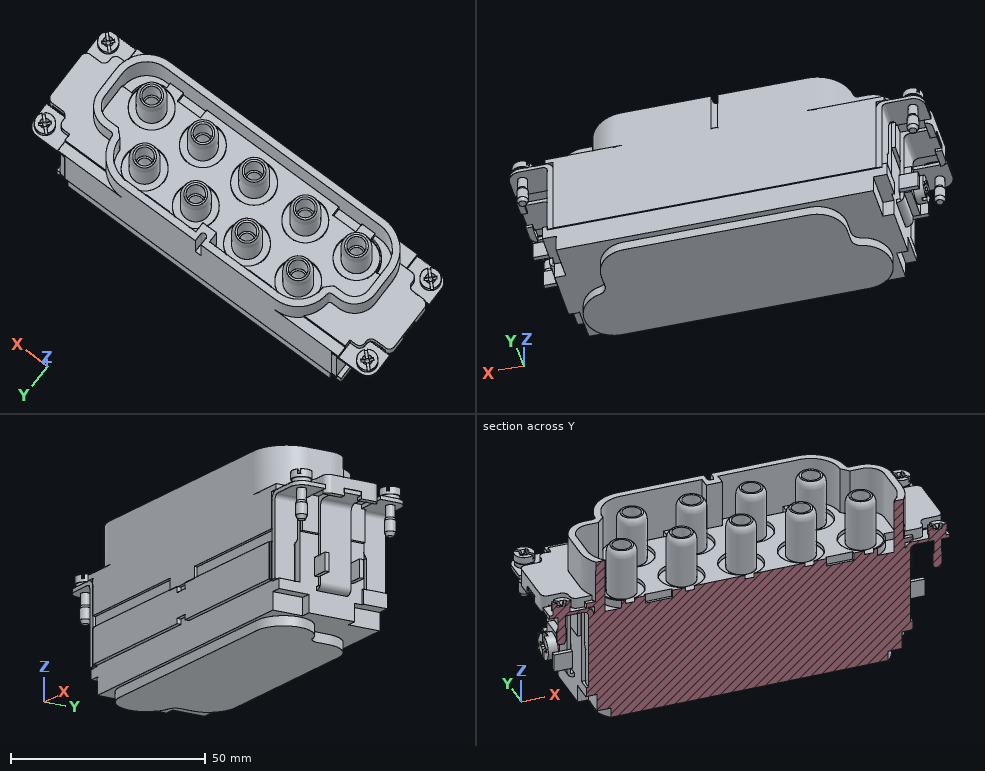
import cadquery as cq
import math


BASE_TOP = 2.8
CORNER_NOTCH_TOP = 7.8
LEG_BOTTOM = 10.6
STRIP_BOTTOM = 11.0
STRIP_TOP = 21.1
FRONT_WALL_BOTTOM = 24.4
FLANGE_BOTTOM = 32.5
TAB_TOP = 34.5
TAB_THICKNESS = 1.1
TAB_BOTTOM = TAB_TOP - TAB_THICKNESS
FLOOR = 34.7
SHELF = 36.0
FLANGE_TOP = 37.5
TOP = 47.9

PITCH = 16.5
ROW_Y = 7.0
FRONT_ROW = [i * PITCH for i in (-2, -1, 0, 1, 2)]
BACK_ROW = [i * PITCH for i in (-1.5, -0.5, 0.5, 1.5)]
SHROUD_RADIUS = 10.0
SHROUD_WALL = 2.0
SHOULDER_RADIUS = 6.7
BACK_CENTRE_X = BACK_ROW[-1]
SHROUD_HALF_X = 44.6
FRONT_CENTRE_X = SHROUD_HALF_X - SHROUD_RADIUS

BODY_X = 45.2
BODY_Y = ROW_Y + SHROUD_RADIUS
LOWER_FRONT_Y = -16.1
LOWER_BACK_Y = 16.6
STRIP_X = 42.2
STRIP_FRONT_Y = -17.3
LEG_GROOVE_X = 43.0
LEG_GROOVE_Y = 9.8
BRACKET_Y = 16.8
FRONT_SHELF_Y = -12.0
BACK_SHELF_Y = 14.0
FLANGE_X = 55.4
FLANGE_Y = 8.1
FLANGE_NECK_X = 48.8
FLANGE_LIP_X = 53.7

SCREW_X = 52.0
SCREW_Y = 13.5

STRAP_OUTER_X = 47.2
STRAP_INNER_X = 46.2
STRAP_Y = 4.7
STRAP_TIP_Y = 2.5
STRAP_BOTTOM = 9.2
STRAP_BEND = 1.9
TERMINAL_Z = 17.0

SEAT_D = 12.1
SEAT_DEPTH = 1.1

SIDES = (-1, 1)


def box(x, y, z):
    """Box from (low, high) pairs, in any order."""
    (x0, x1), (y0, y1), (z0, z1) = sorted(x), sorted(y), sorted(z)
    return cq.Workplane("XY").box(x1 - x0, y1 - y0, z1 - z0, centered=False).translate((x0, y0, z0))


def near(x, y, z):
    """Selector for edges centred within a small margin of the given (low, high) ranges."""
    margin = 0.5
    low = [min(pair) - margin for pair in (x, y, z)]
    high = [max(pair) + margin for pair in (x, y, z)]
    return cq.selectors.BoxSelector(low, high)


def cylinder(diameter, z0, z1, x=0, y=0):
    return cq.Workplane("XY", origin=(x, y, z0)).circle(diameter / 2).extrude(z1 - z0)


def both_ends(shape):
    return shape.union(shape.mirror("YZ"))


def four_corners(shape):
    return both_ends(shape.union(shape.mirror("XZ")))


def arc_middle(cx, cy, radius, degrees):
    angle = math.radians(degrees)
    return (cx + radius * math.cos(angle), cy + radius * math.sin(angle))


def shroud_outline(inset, z0, z1):
    """Prism on the shroud outline moved inwards by inset, which also chamfers the waist corners."""
    corner_r = SHROUD_RADIUS - inset
    shoulder_r = SHOULDER_RADIUS - inset
    side = SHROUD_HALF_X - inset
    waist_y = ROW_Y - inset
    shoulder_x = side - shoulder_r
    shoulder_y = waist_y - shoulder_r
    front_y = -ROW_Y - corner_r
    back_y = ROW_Y + corner_r
    right = (
        cq.Workplane("XY", origin=(0, 0, z0))
        .moveTo(0, front_y)
        .lineTo(FRONT_CENTRE_X, front_y)
        .threePointArc(arc_middle(FRONT_CENTRE_X, -ROW_Y, corner_r, -45), (side, -ROW_Y))
        .lineTo(side, shoulder_y)
        .threePointArc(arc_middle(shoulder_x, shoulder_y, shoulder_r, 45), (shoulder_x, waist_y))
        .lineTo(BACK_CENTRE_X + SHROUD_RADIUS, waist_y)
    )
    if inset > 0:
        right = right.lineTo(BACK_CENTRE_X + corner_r, ROW_Y)
    right = right.threePointArc(arc_middle(BACK_CENTRE_X, ROW_Y, corner_r, 45), (BACK_CENTRE_X, back_y))
    return both_ends(right.lineTo(0, back_y).close().extrude(z1 - z0))


def shroud():
    """Solid shroud block, with a small fillet in each outer waist corner."""
    waist_fillet = 0.9
    waist_x = BACK_CENTRE_X + SHROUD_RADIUS
    block = shroud_outline(0, SHELF, TOP)
    for side in SIDES:
        x = side * waist_x
        waist = near((x, x), (ROW_Y, ROW_Y), (SHELF, TOP))
        block = block.edges("|Z").edges(waist).fillet(waist_fillet)
    return block


def bottom_plate():
    radius = 8.0
    waist_fillet = 2.5
    long_row = cq.Workplane("XY").center(0, -ROW_Y).slot2D(2 * (FRONT_ROW[-1] + radius), 2 * radius)
    waist_x = BACK_CENTRE_X + radius
    back_block = box((-waist_x, waist_x), (-ROW_Y, ROW_Y + radius), (0, BASE_TOP))
    back_block = back_block.edges("|Z and >Y").fillet(radius)
    plate = long_row.extrude(BASE_TOP).union(back_block)
    waist_y = radius - ROW_Y
    waist = near((-waist_x, waist_x), (waist_y, waist_y), (0, BASE_TOP))
    return plate.edges("|Z").edges(waist).fillet(waist_fillet)


def lower_body():
    body = box((-BODY_X, BODY_X), (LOWER_FRONT_Y, LOWER_BACK_Y), (BASE_TOP, LEG_BOTTOM))
    corner = box((STRIP_X, BODY_X), (ROW_Y, BODY_Y), (BASE_TOP, CORNER_NOTCH_TOP))
    return body.cut(four_corners(corner))


def upper_body():
    key_half = 5.9
    body = box((-BODY_X, BODY_X), (-BODY_Y, BODY_Y), (LEG_BOTTOM, SHELF))
    deck = box((-BODY_X, BODY_X), (FRONT_SHELF_Y, BACK_SHELF_Y), (SHELF, FLANGE_TOP))
    groove = box((LEG_GROOVE_X, BODY_X), (LEG_GROOVE_Y, BODY_Y), (LEG_BOTTOM, TAB_TOP))
    step = box((-BODY_X, BODY_X), (-BODY_Y, LOWER_FRONT_Y), (LEG_BOTTOM, FRONT_WALL_BOTTOM))
    key = box((-key_half, key_half), (-BODY_Y, LOWER_FRONT_Y), (STRIP_TOP, FRONT_WALL_BOTTOM))
    return body.union(deck).cut(four_corners(groove)).cut(step).union(key)


def front_strip():
    notch_half = 1.9
    top_notch = 1.7
    bottom_notch = 1.4
    strip = box((-STRIP_X, STRIP_X), (STRIP_FRONT_Y, LOWER_FRONT_Y), (STRIP_BOTTOM, STRIP_TOP))
    for z in ((STRIP_TOP - top_notch, STRIP_TOP), (STRIP_BOTTOM, STRIP_BOTTOM + bottom_notch)):
        strip = strip.cut(box((-notch_half, notch_half), (STRIP_FRONT_Y, LOWER_FRONT_Y), z))
    shoulder = box((STRIP_X, LEG_GROOVE_X), (-BODY_Y, LOWER_FRONT_Y), (LEG_BOTTOM, STRIP_TOP))
    return strip.union(both_ends(shoulder))


def flange_end():
    """Flange at the +X end, stepped in plan to clear the screw tabs, with a lip slotted for the strap."""
    neck_y = 12.0
    step_fillet = 1.7
    tongue = box((BODY_X, FLANGE_X), (-FLANGE_Y, FLANGE_Y), (FLANGE_BOTTOM, FLANGE_TOP))
    tongue = tongue.edges("|Z and >X").fillet(step_fillet)
    tongue = tongue.cut(box((BODY_X, FLANGE_LIP_X), (-FLANGE_Y, FLANGE_Y), (FLANGE_BOTTOM, TAB_TOP)))
    neck = box((BODY_X, FLANGE_NECK_X), (-neck_y, neck_y), (TAB_TOP, FLANGE_TOP))
    neck = neck.edges("|Z and >X").fillet(step_fillet)
    flange = tongue.union(neck)
    inner = near((FLANGE_NECK_X, FLANGE_NECK_X), (-FLANGE_Y, FLANGE_Y), (FLANGE_BOTTOM, FLANGE_TOP))
    flange = flange.edges("|Z").edges(inner).fillet(step_fillet)
    return flange.cut(box((FLANGE_LIP_X, FLANGE_X), (-STRAP_TIP_Y, STRAP_TIP_Y), (FLANGE_BOTTOM, TAB_TOP)))


def corner_bracket():
    """Bent sheet bracket at the +X +Y corner: a leg in the body groove and a screw tab."""
    leg_outer_x = 44.6
    inner_bend = 1.3
    outer_bend = 2.2
    tab_inner_y = 8.4
    leg_inner_y = 10.0
    leg_narrow_y = 11.0
    taper_z = (20.7, 22.3)
    tab_corner = 3.3
    leg = box((LEG_GROOVE_X, leg_outer_x), (leg_inner_y, BRACKET_Y), (LEG_BOTTOM, TAB_TOP))
    arm = box((LEG_GROOVE_X, FLANGE_NECK_X), (leg_inner_y, BRACKET_Y), (TAB_BOTTOM, TAB_TOP))
    bend = leg.union(arm)
    bend = bend.edges("|Y and <X and >Z").fillet(outer_bend)
    crease = near((leg_outer_x, leg_outer_x), (leg_inner_y, BRACKET_Y), (TAB_BOTTOM, TAB_BOTTOM))
    bend = bend.edges("|Y").edges(crease).fillet(inner_bend)
    relief = (
        cq.Workplane("YZ", origin=(LEG_GROOVE_X, 0, 0))
        .polyline([(leg_inner_y, LEG_BOTTOM), (leg_narrow_y, LEG_BOTTOM),
                   (leg_narrow_y, taper_z[0]), (leg_inner_y, taper_z[1])])
        .close()
        .extrude(leg_outer_x - LEG_GROOVE_X)
    )
    tab = box((FLANGE_NECK_X, FLANGE_X), (tab_inner_y, BRACKET_Y), (TAB_BOTTOM, TAB_TOP))
    tab = tab.edges("|Z and >X and >Y").fillet(tab_corner)
    tie = box((LEG_GROOVE_X, FLANGE_NECK_X), (tab_inner_y, leg_inner_y), (TAB_BOTTOM, TAB_TOP))
    return bend.cut(relief).union(tab).union(tie)


def cross_drive(head_d, short_slot, width, depth):
    """Crossed slots and a central point below Z = 0; the long slot crosses the head along X."""
    point_d = 2.7
    point_depth = 2.2
    long_box = cq.Workplane("XY").box(2 * head_d, width, 2 * depth)
    short_box = cq.Workplane("XY").box(width, short_slot, 2 * depth)
    point = cq.Workplane("XY").add(cq.Solid.makeCone(0, point_d, 2 * point_depth))
    return long_box.union(short_box).union(point.translate((0, 0, -point_depth)))


def fixing_screw(x, y):
    head_d = 5.5
    collar_d = 5.0
    shank_d = 2.5
    thread_d = 3.0
    tip_d = 2.0
    head_top = 37.9
    collar_top = 35.8
    shank_bottom = 30.0
    thread_top = 29.4
    thread_bottom = 26.2
    tip = 25.0
    profile = [
        (0, tip), (tip_d / 2, tip), (thread_d / 2, thread_bottom), (thread_d / 2, thread_top),
        (shank_d / 2, shank_bottom), (shank_d / 2, TAB_TOP), (collar_d / 2, TAB_TOP),
        (collar_d / 2, collar_top), (head_d / 2, collar_top), (head_d / 2, head_top), (0, head_top),
    ]
    screw = cq.Workplane("XZ").polyline(profile).close().revolve(360, (0, 0, 0), (0, 1, 0))
    drive = cross_drive(head_d, short_slot=3.3, width=0.8, depth=1.2)
    drive = drive.rotate((0, 0, 0), (0, 0, 1), -45).translate((0, 0, head_top))
    return screw.cut(drive).translate((x, y, 0))


def earth_strap():
    """Strap hooked into the flange lip, its pads and the clamp ears at the +X end."""
    tip_x = 55.2
    arm_bend = 1.5
    ear_outer_x = 51.3
    ear_y = 5.9
    ear_z = (12.6, 17.7)
    pad_y = 9.5
    shank_d = 4.5
    strap = box((STRAP_INNER_X, STRAP_OUTER_X), (-STRAP_Y, STRAP_Y), (STRAP_BOTTOM, TAB_TOP))
    foot = box((BODY_X, STRAP_OUTER_X), (-STRAP_Y, STRAP_Y), (STRAP_BOTTOM, STRAP_BOTTOM + TAB_THICKNESS))
    strap = strap.union(foot).edges("|Y and >X and <Z").fillet(STRAP_BEND)
    arm = box((STRAP_INNER_X, FLANGE_LIP_X), (-STRAP_Y, STRAP_Y), (TAB_BOTTOM, TAB_TOP))
    crease = near((STRAP_OUTER_X, STRAP_OUTER_X), (-STRAP_Y, STRAP_Y), (TAB_BOTTOM, TAB_BOTTOM))
    strap = strap.union(arm).edges("|Y").edges(crease).fillet(arm_bend)
    strap = strap.union(box((FLANGE_LIP_X, tip_x), (-STRAP_TIP_Y, STRAP_TIP_Y), (TAB_BOTTOM, TAB_TOP)))
    pad = box((BODY_X, STRAP_INNER_X), (-pad_y, pad_y), (FRONT_WALL_BOTTOM, TAB_TOP))
    shank = cq.Workplane("YZ", origin=(BODY_X, 0, TERMINAL_Z)).circle(shank_d / 2)
    strap = strap.union(pad).union(shank.extrude(STRAP_INNER_X - BODY_X))
    for side in SIDES:
        strap = strap.union(box((STRAP_INNER_X, ear_outer_x), (side * STRAP_Y, side * ear_y), ear_z))
    return strap


def earth_terminal():
    """Clamp plate and screw head, on the -X strap only."""
    plate_outer_x = 49.2
    head_outer_x = 52.0
    head_d = 7.2
    plate_y = 4.4
    plate_half_z = 4.5
    plate = box((-plate_outer_x, -STRAP_OUTER_X), (-plate_y, plate_y),
                (TERMINAL_Z - plate_half_z, TERMINAL_Z + plate_half_z))
    head = cq.Workplane("YZ", origin=(-head_outer_x, 0, TERMINAL_Z)).circle(head_d / 2)
    head = head.extrude(head_outer_x - plate_outer_x)
    drive = cross_drive(head_d, short_slot=4.3, width=1.0, depth=1.1)
    drive = drive.rotate((0, 0, 0), (0, 1, 0), -90).translate((-head_outer_x, 0, TERMINAL_Z))
    return plate.union(head.cut(drive))


def corner_block():
    """Stop below the bracket leg at the +X back corner."""
    outer_x = 45.9
    inner_y = 9.2
    block_top = 11.9
    return box((STRIP_X, outer_x), (inner_y, LOWER_BACK_Y), (CORNER_NOTCH_TOP, block_top))


def keyway_block():
    half_x = 2.2
    front_y = 12.0
    return box((-half_x, half_x), (front_y, BODY_Y - SHROUD_WALL), (FLOOR, TOP))


def keyway():
    width = 1.8
    end_y = 14.0
    slot = cq.Workplane("XY", origin=(0, BODY_Y, SHELF)).slot2D(2 * (BODY_Y - end_y), width, 90)
    return slot.extrude(TOP - SHELF)


def floor_pockets():
    """Latch pockets beside the long walls and curved pockets in the two front corners."""
    depth = 2.2
    front_x = 25.0
    width = 7.4
    length = 2.7
    z = (FLOOR - depth, FLOOR)
    wall_y = BODY_Y - SHROUD_WALL
    pockets = cq.Workplane("XY")
    for x_centre, side in ((front_x, -1), (PITCH, 1)):
        x = (x_centre - width / 2, x_centre + width / 2)
        pocket = box(x, (side * wall_y, side * (wall_y - length)), z)
        pockets = pockets.union(both_ends(pocket))
    seat_clearance_r = 6.4
    pin_x = FRONT_ROW[-1]
    corner = box((pin_x, SHROUD_HALF_X), (-BODY_Y, -ROW_Y), z)
    corner = corner.intersect(shroud_outline(SHROUD_WALL, *z))
    corner = corner.cut(cylinder(2 * seat_clearance_r, *z, pin_x, -ROW_Y))
    return pockets.union(both_ends(corner))


def contact_pin():
    """Hollow pin with a rounded rim; it stands in a shallow round seat."""
    pin_d = 8.0
    rim_d = 6.1
    bore_d = 5.0
    bottom_d = 4.0
    pin_top = 47.7
    rounding_height = 2.0
    bore_bottom = 37.7
    drill_depth = 1.7
    root = FLOOR - 2 * SEAT_DEPTH
    profile = (
        cq.Workplane("XZ")
        .moveTo(0, root)
        .lineTo(pin_d / 2, root)
        .lineTo(pin_d / 2, pin_top - rounding_height)
        .tangentArcPoint((rim_d / 2, pin_top), relative=False)
        .lineTo(bore_d / 2, pin_top)
        .lineTo(bore_d / 2, bore_bottom)
        .lineTo(bottom_d / 2, bore_bottom)
        .lineTo(0, bore_bottom - drill_depth)
        .close()
    )
    return profile.revolve(360, (0, 0, 0), (0, 1, 0))


contacts = [(x, -ROW_Y) for x in FRONT_ROW] + [(x, ROW_Y) for x in BACK_ROW]

result = bottom_plate().union(lower_body()).union(upper_body()).union(front_strip())
result = result.union(both_ends(flange_end()))
result = result.union(both_ends(corner_block()))

result = result.union(shroud())
result = result.cut(shroud_outline(SHROUD_WALL, FLOOR, TOP))
result = result.union(keyway_block()).cut(keyway()).cut(floor_pockets())
for x, y in contacts:
    result = result.cut(cylinder(SEAT_D, FLOOR - SEAT_DEPTH, FLOOR, x, y))
for x, y in contacts:
    result = result.union(contact_pin().translate((x, y, 0)))

result = result.union(four_corners(corner_bracket()))
result = result.union(both_ends(earth_strap())).union(earth_terminal())
for side_x in SIDES:
    for side_y in SIDES:
        result = result.union(fixing_screw(side_x * SCREW_X, side_y * SCREW_Y))